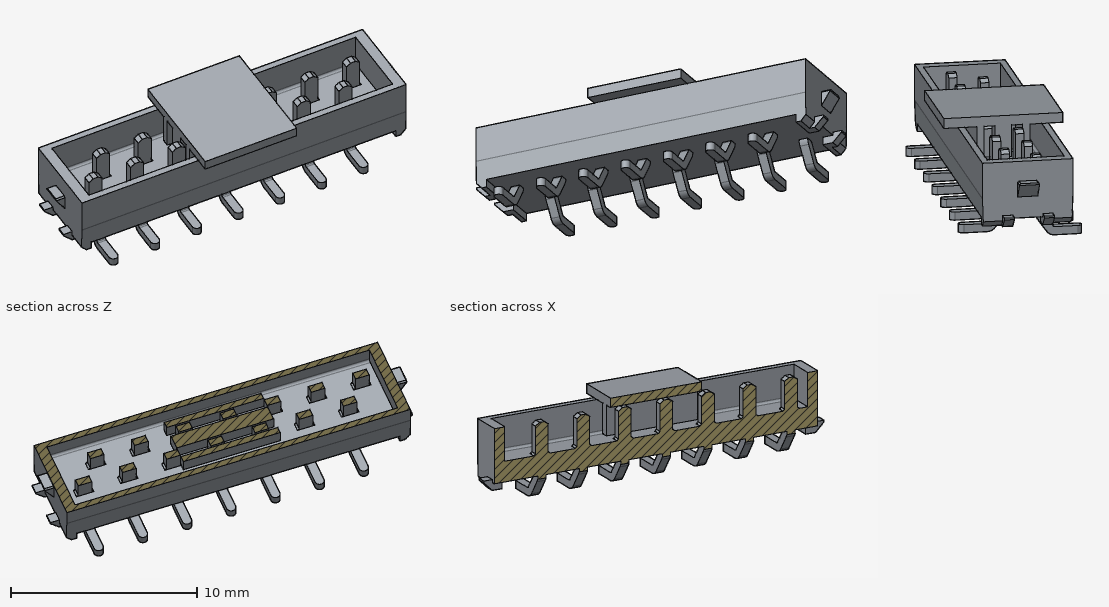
import cadquery as cq
import math

BODY_LENGTH = 19.77
BODY_WIDTH = 4.95
BODY_FOOT_WIDTH = 4.83
BODY_TOP = 4.6
TAPER_TOP = 2.62
BODY_BOTTOM = 1.44

CAVITY_LENGTH = 18.52
CAVITY_WIDTH = 4.2
FLOOR = 2.65
FLOOR_FILLET = 0.14

FOOT_BOTTOM = 1.0
FOOT_LENGTH = 0.6
FOOT_INNER_X = 0.82
FOOT_CHAMFER_DEPTH = 0.3
FOOT_CHAMFER_HEIGHT = 0.33

WEDGE_REACH = 0.52
WEDGE_TIP = 0.1
LATCH_WIDTH = 1.1
LATCH_TOP = 3.5
LATCH_ROOT = 0.3
LATCH_CHAMFER = 0.08
TAB_WIDTH = 0.55
TAB_TOP = 1.62

CAP_WIDTH = 6.5
CAP_LENGTH = 5.58
CAP_TOP = 5.15
CAP_BLOCK_WIDTH = 2.9
CAP_BLOCK_BOTTOM = 2.85
CAP_SLOT_WIDTH = 0.6

PIN_COUNT = 14
PITCH = 1.27
PIN_X = 0.75
STOCK = 0.46
PIN_LENGTH = 0.8
PIN_TOP = 4.5
PIN_CHAMFER_LENGTH = 0.25
PIN_CHAMFER_HEIGHT = 0.18
PIN_FLARE = 0.1
PIN_FLARE_HEIGHT = 0.1
LEAD_WIDTH = 0.52
LEAD_REACH = 3.25
LEAD_ANGLE = math.radians(55)
LEAD_KNEE_HEIGHT = 1.38
KNEE_INNER_RADIUS = 0.3
ANKLE_INNER_RADIUS = 0.1


def make_body():
    half = BODY_WIDTH / 2
    half_foot = BODY_FOOT_WIDTH / 2
    section = [
        (-half_foot, FOOT_BOTTOM),
        (half_foot, FOOT_BOTTOM),
        (half, TAPER_TOP),
        (half, BODY_TOP),
        (-half, BODY_TOP),
        (-half, TAPER_TOP),
    ]
    body = cq.Workplane("XZ").polyline(section).close().extrude(BODY_LENGTH / 2, both=True)

    foot_height = BODY_BOTTOM - FOOT_BOTTOM
    between_ends = cq.Workplane("XY", origin=(0, 0, FOOT_BOTTOM)).box(
        BODY_WIDTH, BODY_LENGTH - 2 * FOOT_LENGTH, foot_height, centered=(True, True, False))
    between_sides = cq.Workplane("XY", origin=(0, 0, FOOT_BOTTOM)).box(
        2 * FOOT_INNER_X, BODY_LENGTH, foot_height, centered=(True, True, False))
    body = body.cut(between_ends).cut(between_sides)

    end = BODY_LENGTH / 2
    chamfer = (
        cq.Workplane("YZ")
        .polyline([
            (end, FOOT_BOTTOM),
            (end, FOOT_BOTTOM + FOOT_CHAMFER_HEIGHT),
            (end - FOOT_CHAMFER_DEPTH, FOOT_BOTTOM),
        ])
        .close()
        .extrude(BODY_WIDTH / 2, both=True)
    )
    body = body.cut(chamfer).cut(chamfer.mirror("XZ"))

    cavity = (
        cq.Workplane("XY", origin=(0, 0, FLOOR))
        .box(CAVITY_WIDTH, CAVITY_LENGTH, BODY_TOP - FLOOR, centered=(True, True, False))
        .edges("|Y and <Z")
        .fillet(FLOOR_FILLET)
    )
    return body.cut(cavity)


def make_wedge(width, top, bottom, root):
    """Wedge on the +Y end wall, flat on top, sloping back to the wall below; root reaches inward."""
    end = BODY_LENGTH / 2
    profile = [
        (end - root, top),
        (end + WEDGE_REACH, top),
        (end + WEDGE_REACH, top - WEDGE_TIP),
        (end, bottom),
        (end - root, bottom),
    ]
    return cq.Workplane("YZ").polyline(profile).close().extrude(width / 2, both=True)


def make_end_wedges():
    latch = make_wedge(LATCH_WIDTH, LATCH_TOP, TAPER_TOP, LATCH_ROOT)
    latch = latch.faces(">Z").edges("|Y").chamfer(LATCH_CHAMFER)
    tab = make_wedge(TAB_WIDTH, TAB_TOP, FOOT_BOTTOM, FOOT_LENGTH)
    tab_x = FOOT_INNER_X + TAB_WIDTH / 2
    wedges = latch.union(tab.translate((tab_x, 0, 0))).union(tab.translate((-tab_x, 0, 0)))
    return wedges.union(wedges.mirror("XZ"))


def make_cap():
    plate = cq.Workplane("XY", origin=(0, 0, BODY_TOP)).box(
        CAP_WIDTH, CAP_LENGTH, CAP_TOP - BODY_TOP, centered=(True, True, False))
    block_height = BODY_TOP - CAP_BLOCK_BOTTOM
    block = cq.Workplane("XY", origin=(0, 0, CAP_BLOCK_BOTTOM)).box(
        CAP_BLOCK_WIDTH, CAP_LENGTH, block_height, centered=(True, True, False))
    slots = (
        cq.Workplane("XY", origin=(0, 0, CAP_BLOCK_BOTTOM))
        .pushPoints([(-PIN_X, 0), (PIN_X, 0)])
        .box(CAP_SLOT_WIDTH, CAP_LENGTH, block_height, centered=(True, True, False))
    )
    return plate.union(block.cut(slots))


def make_lead():
    """Gull-wing lead on the +X side, bent from constant-thickness stock."""
    half = STOCK / 2
    slope = math.tan(LEAD_ANGLE)
    knee_shift = half * math.tan((math.pi / 2 - LEAD_ANGLE) / 2)
    ankle_shift = half * math.tan(LEAD_ANGLE / 2)
    ankle_x = PIN_X + (LEAD_KNEE_HEIGHT - half) / slope

    knee_outer = (PIN_X - half, LEAD_KNEE_HEIGHT - knee_shift)
    knee_inner = (PIN_X + half, LEAD_KNEE_HEIGHT + knee_shift)
    ankle_outer = (ankle_x - ankle_shift, 0)
    ankle_inner = (ankle_x + ankle_shift, STOCK)
    lead = (
        cq.Workplane("XZ")
        .polyline([
            (PIN_X - half, FLOOR),
            knee_outer,
            ankle_outer,
            (LEAD_REACH, 0),
            (LEAD_REACH, STOCK),
            ankle_inner,
            knee_inner,
            (PIN_X + half, FLOOR),
        ])
        .close()
        .extrude(LEAD_WIDTH / 2, both=True)
    )
    bends = [
        (knee_outer, KNEE_INNER_RADIUS + STOCK),
        (knee_inner, KNEE_INNER_RADIUS),
        (ankle_outer, ANKLE_INNER_RADIUS + STOCK),
        (ankle_inner, ANKLE_INNER_RADIUS),
    ]
    for (x, z), radius in bends:
        corner = cq.selectors.NearestToPointSelector((x, 0, z))
        lead = lead.edges(corner).fillet(radius)
    rounded_plan = cq.Workplane("XY").slot2D(2 * LEAD_REACH, LEAD_WIDTH).extrude(FLOOR)
    return lead.intersect(rounded_plan)


def make_pin():
    """Blade pin standing on the cavity floor, chamfered at the tip and flared at the base."""
    half = PIN_LENGTH / 2
    outline = [
        (half + PIN_FLARE, FLOOR),
        (half, FLOOR + PIN_FLARE_HEIGHT),
        (half, PIN_TOP - PIN_CHAMFER_HEIGHT),
        (half - PIN_CHAMFER_LENGTH, PIN_TOP),
    ]
    outline += [(-y, z) for y, z in reversed(outline)]
    pin = cq.Workplane("YZ", origin=(PIN_X, 0, 0)).polyline(outline).close()
    return pin.extrude(STOCK / 2, both=True)


def add_contacts(part):
    right = make_lead().union(make_pin())
    left = right.mirror("YZ")
    first_y = -PITCH * (PIN_COUNT - 1) / 2
    for index in range(PIN_COUNT):
        contact = right if index % 2 == 0 else left
        part = part.union(contact.translate((0, first_y + index * PITCH, 0)))
    return part


result = add_contacts(make_body().union(make_end_wedges()).union(make_cap()))